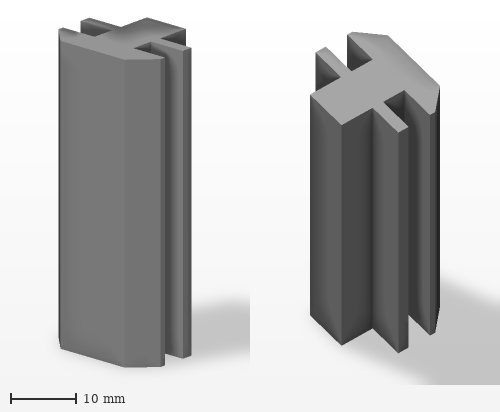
import cadquery as cq

length = 50.0
overall_width = 21.0
overall_depth = 17.0
stem_width = 8.0
fin_thickness = 2.0
fin_setback = 6.0
base_depth = 4.9
bevel = 3.9

fin_center_y = overall_depth - fin_setback - fin_thickness / 2


def bar(width, depth, center_y):
    """Full-length rectangular bar centred on X = 0."""
    return (
        cq.Workplane("XY")
        .center(0, center_y)
        .rect(width, depth)
        .extrude(length)
    )


stem = bar(stem_width, overall_depth, overall_depth / 2)
fins = bar(overall_width, fin_thickness, fin_center_y)
base = bar(overall_width, base_depth, base_depth / 2).edges("|Z and <Y").chamfer(bevel)

result = stem.union(fins).union(base).clean()